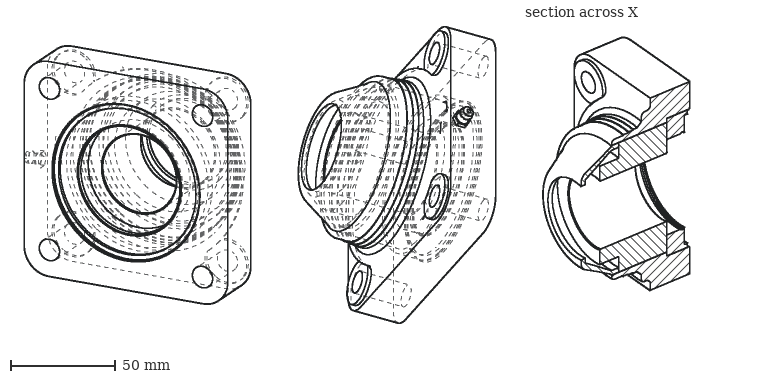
import cadquery as cq
import math


overall_width = 119.0

flange_side = 110.0
flange_thickness = 24.2
bolt_offset = 41.3
bolt_hole_radius = 5.5
pad_radius = 11.2
pad_top = 26.1
corner_radius = 13.5

rim_radius = 48.9
rim_top = 29.5
rim_fillet = 2.1
hub_foot_radius = 44.0
hub_radius = 41.5
hub_step = 0.4
hub_band_ends = (34.5, 37.2, 40.5, 47.6)
hub_end = hub_band_ends[-1]
hub_round = 2.1

mouth_radius = 39.4
mouth_chamfer = 0.6
seat_radius = 37.1

shaft_radius = 19.9
shaft_chamfer = 0.5
bearing_front = 13.8
outer_ring_back = 43.3
sleeve_radius = 28.6
sleeve_back = 54.7

seal_front = 1.3
seal_step = 3.1
seal_bore_radius = 27.5
seal_lip = 0.5
seal_groove_depth = 0.6
seal_groove_width = 1.1
seal_groove_bevel = 1.4

cap_base = 48.2
cap_base_radius = 36.5
cap_end_radius = 26.7
cap_end = 66.0
cap_round = 5.0
cap_wall = 2.6
cap_opening_radius = 21.4

nipple_y = 18.9
nipple_z = -3.5
nipple_length = overall_width - flange_side
hex_flats = 7.4
hex_height = 2.1
nipple_neck_radius = 2.3
nipple_flare_radius = 3.2
nipple_neck_height = 3.8
nipple_collar_start = 5.4
nipple_collar_radius = 2.9
nipple_head_start = 6.1
nipple_head_radius = 3.2
nipple_nose_start = 8.3
nipple_nose_radius = 2.6
nipple_tip_radius = 1.0


def disc(radius, y_start, y_end, centres=((0, 0),)):
    """Cylinders along Y between two depths, centred on (X, Z) points."""
    plane = cq.Workplane("XZ", origin=(0, y_start, 0))
    return plane.pushPoints(centres).circle(radius).extrude(y_start - y_end)


def spin_about_y(profile):
    """Revolve a profile drawn in (radius, Y) about the shaft axis."""
    return profile.close().revolve(360, (0, 0, 0), (0, 1, 0))


def make_hub():
    """Solid hub: blended foot, rounded rim and stepped bands of shrinking radius."""
    arc_sag = rim_fillet * (1 - math.sqrt(0.5))
    profile = (
        cq.Workplane("XY")
        .moveTo(0, 0)
        .lineTo(rim_radius + rim_fillet, 0)
        .lineTo(rim_radius + rim_fillet, flange_thickness)
        .threePointArc(
            (rim_radius + arc_sag, flange_thickness + arc_sag),
            (rim_radius, flange_thickness + rim_fillet),
        )
        .lineTo(rim_radius, rim_top - rim_fillet)
        .threePointArc(
            (rim_radius - arc_sag, rim_top - arc_sag),
            (rim_radius - rim_fillet, rim_top),
        )
        .lineTo(hub_foot_radius, rim_top)
    )
    band_start = rim_top + hub_foot_radius - hub_radius
    for index, band_end in enumerate(hub_band_ends):
        band_radius = hub_radius - index * hub_step
        profile = profile.lineTo(band_radius, band_start).lineTo(band_radius, band_end)
        band_start = band_end
    hub = spin_about_y(profile.lineTo(0, hub_end))
    return hub.faces(">Y").edges().fillet(hub_round)


def make_housing():
    bolt_centres = [(sx * bolt_offset, sz * bolt_offset) for sx in (-1, 1) for sz in (-1, 1)]
    flange = (
        cq.Workplane("XZ")
        .rect(flange_side, flange_side)
        .extrude(-flange_thickness)
        .edges("|Y")
        .fillet(corner_radius)
    )
    pads = disc(pad_radius, 0, pad_top, bolt_centres)
    body = flange.union(pads).union(make_hub())

    mouth = spin_about_y(
        cq.Workplane("XY")
        .moveTo(0, 0)
        .lineTo(mouth_radius + mouth_chamfer, 0)
        .lineTo(mouth_radius, mouth_chamfer)
        .lineTo(mouth_radius, bearing_front)
        .lineTo(0, bearing_front)
    )
    seat = disc(seat_radius, 0, hub_end)
    bolt_holes = disc(bolt_hole_radius, 0, pad_top, bolt_centres)
    return body.cut(mouth).cut(seat).cut(bolt_holes)


def make_bearing():
    outer_ring = disc(seat_radius, bearing_front, outer_ring_back)
    sleeve = disc(sleeve_radius, bearing_front, sleeve_back)
    shaft_bore = disc(shaft_radius, bearing_front, sleeve_back)
    bearing = outer_ring.union(sleeve).cut(shaft_bore)
    bore_edges = cq.selectors.RadiusNthSelector(0)
    return bearing.faces("<Y or >Y").edges(bore_edges).chamfer(shaft_chamfer)


def make_back_seal():
    groove_start = seal_step + seal_lip
    bevel_start = groove_start + seal_groove_width
    groove_radius = seal_bore_radius + seal_groove_depth
    return spin_about_y(
        cq.Workplane("XY")
        .moveTo(mouth_radius, seal_front)
        .lineTo(seat_radius, seal_front)
        .lineTo(seat_radius, seal_step)
        .lineTo(seal_bore_radius, seal_step)
        .lineTo(seal_bore_radius, groove_start)
        .lineTo(groove_radius, groove_start)
        .lineTo(groove_radius, bevel_start)
        .lineTo(seal_bore_radius, bevel_start + seal_groove_bevel)
        .lineTo(seal_bore_radius, bearing_front)
        .lineTo(mouth_radius, bearing_front)
    )


def make_end_cap():
    cap = spin_about_y(
        cq.Workplane("XY")
        .moveTo(seat_radius - cap_wall, outer_ring_back)
        .lineTo(seat_radius, outer_ring_back)
        .lineTo(seat_radius, hub_end)
        .lineTo(cap_base_radius, cap_base)
        .lineTo(cap_end_radius, cap_end)
        .lineTo(cap_opening_radius, cap_end)
        .lineTo(cap_opening_radius, cap_end - cap_wall)
        .lineTo(cap_end_radius - cap_wall, cap_end - cap_wall)
        .lineTo(seat_radius - cap_wall, hub_end)
    )
    outer_edge = cq.selectors.RadiusNthSelector(-1)
    return cap.faces(">Y").edges(outer_edge).fillet(cap_round)


def make_grease_nipple():
    hex_corners = hex_flats / math.cos(math.pi / 6)
    hexagon = cq.Workplane("XY").transformed(rotate=(0, 0, 90)).polygon(6, hex_corners).extrude(hex_height)
    spindle = (
        cq.Workplane("XZ")
        .moveTo(0, 0)
        .lineTo(nipple_flare_radius, 0)
        .lineTo(nipple_flare_radius, hex_height)
        .threePointArc(
            (nipple_neck_radius, nipple_neck_height),
            (nipple_collar_radius, nipple_collar_start),
        )
        .lineTo(nipple_head_radius, nipple_head_start)
        .lineTo(nipple_nose_radius, nipple_nose_start)
        .lineTo(nipple_tip_radius, nipple_length)
        .lineTo(0, nipple_length)
        .close()
        .revolve(360, (0, 0, 0), (0, 1, 0))
    )
    upright = hexagon.union(spindle)
    sideways = upright.rotate((0, 0, 0), (0, 1, 0), -90)
    return sideways.translate((-flange_side / 2, nipple_y, nipple_z))


housing = make_housing()
bearing = make_bearing()
back_seal = make_back_seal()
end_cap = make_end_cap()
grease_nipple = make_grease_nipple()

result = cq.Compound.makeCompound([
    housing.val(),
    bearing.val(),
    back_seal.val(),
    end_cap.val(),
    grease_nipple.val(),
])